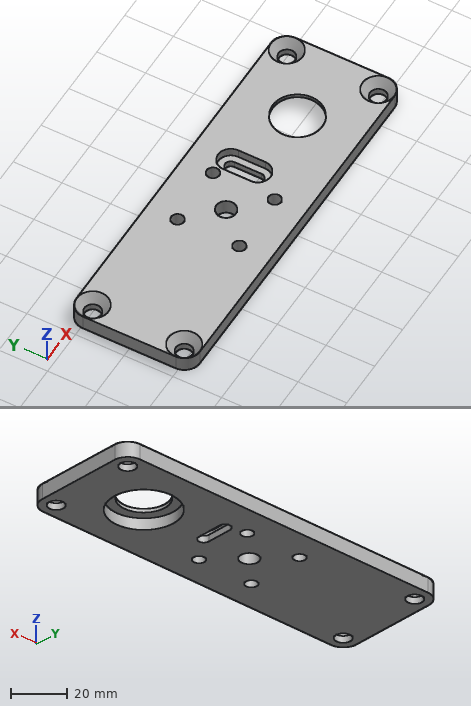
import cadquery as cq

LENGTH = 152.4
WIDTH = 50.8
THICKNESS = 6.35
CORNER_RADIUS = 6.35

CORNER_INSET = 6.6
CORNER_HOLE_DIAMETER = 6.76
COUNTERSINK_DIAMETER = 12.95
COUNTERSINK_ANGLE = 82

PATTERN_X = -6.7
PATTERN_SPACING = 25.4
PATTERN_HOLE_DIAMETER = 5.12
PILOT_HOLE_DIAMETER = 7.98

SLOT_X = 14.55
SLOT_Y = 4.7
SLOT_WIDTH = 4.8
SLOT_LENGTH = 15.9
SLOT_RECESS_MARGIN = 2.8
SLOT_RECESS_DEPTH = 3.6

LARGE_HOLE_X = 44.45
LARGE_HOLE_DIAMETER = 20.32
LARGE_COUNTERBORE_DIAMETER = 28.59
LARGE_COUNTERBORE_DEPTH = 4.7625


def make_plate():
    """Rounded plate centred on the origin in X and Y, underside at Z = 0."""
    plate = cq.Workplane("XY").box(LENGTH, WIDTH, THICKNESS, centered=(True, True, False))
    return plate.edges("|Z").fillet(CORNER_RADIUS)


def top_face(part):
    """Workplane on the plate's top, above the origin."""
    return part.faces(">Z").workplane(origin=(0, 0, THICKNESS))


def cut_corner_holes(part):
    spacing_x = LENGTH - 2 * CORNER_INSET
    spacing_y = WIDTH - 2 * CORNER_INSET
    centers = top_face(part).rarray(spacing_x, spacing_y, 2, 2)
    return centers.cskHole(CORNER_HOLE_DIAMETER, COUNTERSINK_DIAMETER, COUNTERSINK_ANGLE)


def cut_hole_pattern(part):
    part = top_face(part).center(PATTERN_X, 0).hole(PILOT_HOLE_DIAMETER)
    corners = top_face(part).center(PATTERN_X, 0).rarray(PATTERN_SPACING, PATTERN_SPACING, 2, 2)
    return corners.hole(PATTERN_HOLE_DIAMETER)


def cut_stepped_slot(part):
    """Through slot inside a wider recess that opens at the top."""
    recess_length = SLOT_LENGTH + 2 * SLOT_RECESS_MARGIN
    recess_width = SLOT_WIDTH + 2 * SLOT_RECESS_MARGIN
    recess = top_face(part).center(SLOT_X, SLOT_Y).slot2D(recess_length, recess_width, 90)
    part = recess.cutBlind(-SLOT_RECESS_DEPTH)
    slot = top_face(part).center(SLOT_X, SLOT_Y).slot2D(SLOT_LENGTH, SLOT_WIDTH, 90)
    return slot.cutThruAll()


def cut_large_hole(part):
    part = top_face(part).center(LARGE_HOLE_X, 0).hole(LARGE_HOLE_DIAMETER)
    counterbore = cq.Workplane("XY").center(LARGE_HOLE_X, 0)
    counterbore = counterbore.circle(LARGE_COUNTERBORE_DIAMETER / 2).extrude(LARGE_COUNTERBORE_DEPTH)
    return part.cut(counterbore)


result = make_plate()
result = cut_corner_holes(result)
result = cut_hole_pattern(result)
result = cut_stepped_slot(result)
result = cut_large_hole(result)